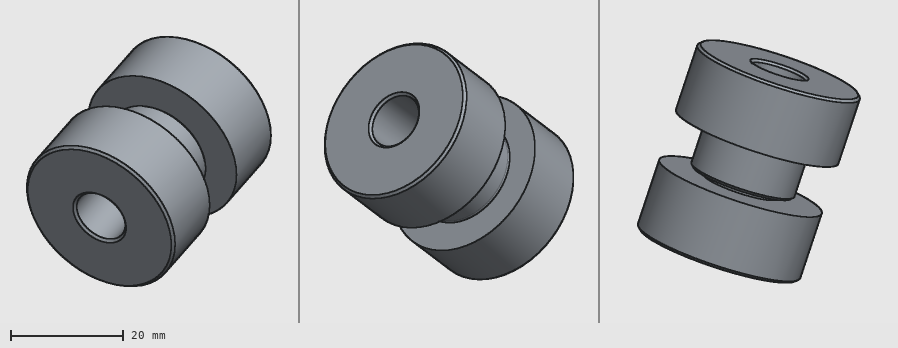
import cadquery as cq

total_length = 34.92
flange_diameter = 30.5
flange_length = 12.7
bore_diameter = 9.95
edge_chamfer = 0.5

hub_diameter = 19.35
hub_length = 8.65
flare_height = 0.15
flare_length = 0.5

neck_diameter = 13.9

front_face = -total_length / 2
rear_face = total_length / 2
front_flange_inner = front_face + flange_length
rear_flange_inner = rear_face - flange_length
hub_end = front_flange_inner + hub_length

flange_radius = flange_diameter / 2
hub_radius = hub_diameter / 2
neck_radius = neck_diameter / 2
bore_radius = bore_diameter / 2


def revolve_about_y(points):
    """Turn a closed outline of (radius, y) points about the Y axis."""
    return cq.Workplane("XY").polyline(points).close().revolve(360, (0, 0, 0), (0, 1, 0))


def make_front_roller():
    """Front flange with its chamfered hub and through bore."""
    return revolve_about_y([
        (bore_radius + edge_chamfer, front_face),
        (flange_radius - edge_chamfer, front_face),
        (flange_radius, front_face + edge_chamfer),
        (flange_radius, front_flange_inner),
        (hub_radius + flare_height, front_flange_inner),
        (hub_radius, front_flange_inner + flare_length),
        (hub_radius, hub_end - edge_chamfer),
        (hub_radius - edge_chamfer, hub_end),
        (bore_radius, hub_end),
        (bore_radius, front_face + edge_chamfer),
    ])


def make_rear_roller():
    """Rear flange with its neck and through bore; the neck butts against the hub."""
    return revolve_about_y([
        (bore_radius, hub_end),
        (neck_radius, hub_end),
        (neck_radius, rear_flange_inner),
        (flange_radius, rear_flange_inner),
        (flange_radius, rear_face - edge_chamfer),
        (flange_radius - edge_chamfer, rear_face),
        (bore_radius + edge_chamfer, rear_face),
        (bore_radius, rear_face - edge_chamfer),
    ])


front_roller = make_front_roller()
rear_roller = make_rear_roller()

result = cq.Compound.makeCompound([front_roller.val(), rear_roller.val()])